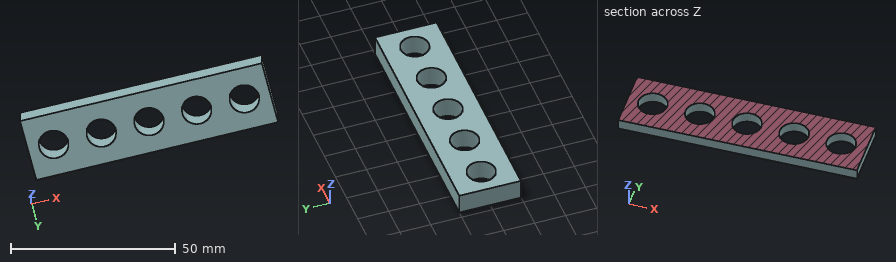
import cadquery as cq

length = 76.0
width = 20.0
thickness = 7.0

hole_count = 5
hole_diameter = 9.0
hole_pitch = 15.0

bar = cq.Workplane("XY").box(length, width, thickness)

result = (
    bar.faces(">Z")
    .workplane()
    .rarray(hole_pitch, width, hole_count, 1)
    .hole(hole_diameter)
)